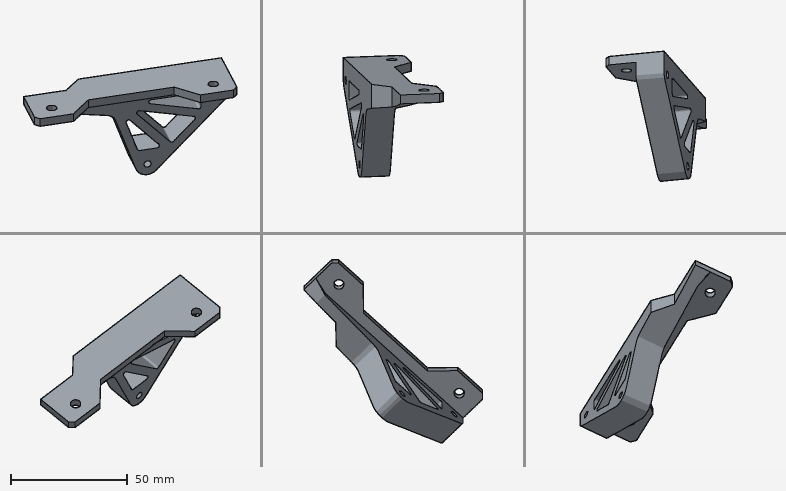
import cadquery as cq
import math

length = 90.0
tab_x = 26.5
arm_x = 17.4
plate_thickness = 3.9
notch_start = 25.9
tab_chamfer = 2.0
screw_x = 19.4
screw_end_distance = 9.1
screw_diameter = 4.3

step_x = 7.3
step_front = 18.9
step_back = 26.4

web_x = 12.5
web_tip_x = 14.7
corner_radius = 5.4
pivot_drop = 40.0
pivot_to_back_hole = 31.0
back_hole_y = length - corner_radius
back_hole_z = pivot_to_back_hole - pivot_drop
pivot_y = back_hole_y - pivot_to_back_hole
cross_hole_diameter = 3.15
leg_angle = math.radians(19.2)
kink_y = 7.65
kink_z = -6.2
underside_slope = 0.225

window_radius = 1.0
windows = [
    [(77.4, -7.8), (77.4, -16.3), (48.2, -7.8)],
    [(75.8, -19.9), (64.4, -31.2), (46.8, -11.5)],
    [(60.1, -32.6), (49.4, -32.6), (42.6, -13.0)],
]


def extrude_down(points, depth):
    """Extrude a plan outline from the top face at Z = 0 downward."""
    return cq.Workplane("XY").polyline(points).close().extrude(-depth)


def extrude_across(points, width):
    """Extrude a (Y, Z) side outline from the left face toward +X."""
    return cq.Workplane("YZ").polyline(points).close().extrude(width)


def make_plate():
    notch_depth = tab_x - arm_x
    tab_end = notch_start - notch_depth
    outline = [
        (step_x, 0),
        (tab_x - tab_chamfer, 0),
        (tab_x, tab_chamfer),
        (tab_x, tab_end),
        (arm_x, notch_start),
        (arm_x, length - notch_start),
        (tab_x, length - tab_end),
        (tab_x, length - tab_chamfer),
        (tab_x - tab_chamfer, length),
        (0, length),
        (0, step_back),
        (step_x, step_front),
    ]
    screw_holes = [(screw_x, screw_end_distance), (screw_x, length - screw_end_distance)]
    plate = extrude_down(outline, plate_thickness)
    holes = cq.Workplane("XY").pushPoints(screw_holes).circle(screw_diameter / 2).extrude(-plate_thickness)
    return plate.cut(holes)


def web_side():
    """Side profile whose two lower corners are concentric with the cross holes."""
    diagonal_offset = back_hole_y - back_hole_z + corner_radius * math.sqrt(2)
    cos_leg = math.cos(leg_angle)
    sin_leg = math.sin(leg_angle)
    leg_offset = pivot_y * cos_leg - pivot_drop * sin_leg - corner_radius
    tip_z = (leg_offset - diagonal_offset * cos_leg) / (cos_leg + sin_leg)
    tip_y = tip_z + diagonal_offset
    underside_at_front = kink_z + underside_slope * kink_y
    inner_y = (leg_offset - underside_at_front * sin_leg) / (cos_leg - underside_slope * sin_leg)
    inner_z = underside_at_front - underside_slope * inner_y
    back_z = length - diagonal_offset

    rounded_corners = [(length, back_z), (tip_y, tip_z), (inner_y, inner_z)]
    outline = [(0, 0), (length, 0)] + rounded_corners + [(kink_y, kink_z), (0, -plate_thickness)]
    side = extrude_across(outline, web_tip_x)
    for y, z in rounded_corners:
        corner_edge = cq.selectors.NearestToPointSelector((web_tip_x / 2, y, z))
        side = side.edges(corner_edge).fillet(corner_radius)
    return side


def make_web():
    plan = [
        (step_x, 0),
        (web_tip_x, 0),
        (web_x, kink_y),
        (web_x, length),
        (0, length),
        (0, step_back),
        (step_x, step_front),
    ]
    web_depth = pivot_drop + corner_radius
    web = web_side().intersect(extrude_down(plan, web_depth))
    for corners in windows:
        web = web.cut(extrude_across(corners, web_tip_x).edges("|X").fillet(window_radius))
    cross_holes = [(back_hole_y, back_hole_z), (pivot_y, -pivot_drop)]
    holes = cq.Workplane("YZ").pushPoints(cross_holes).circle(cross_hole_diameter / 2).extrude(web_tip_x)
    return web.cut(holes)


result = make_plate().union(make_web())